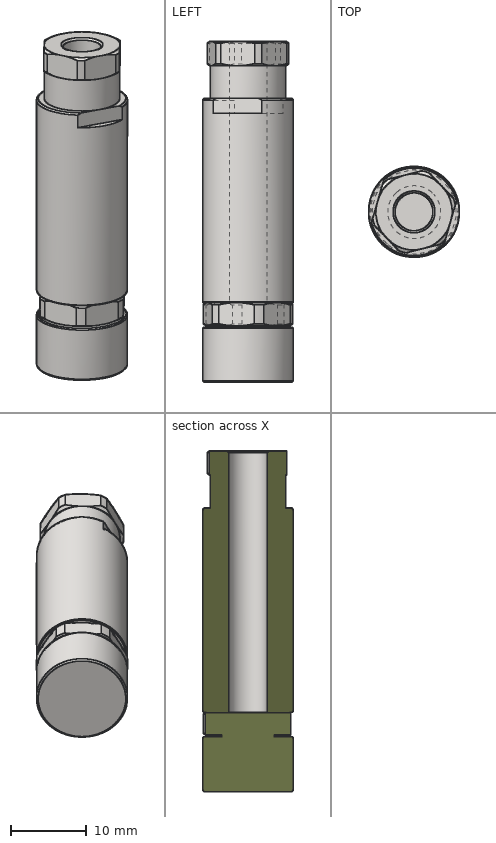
import cadquery as cq
import math

TOTAL_LENGTH = 45.0
BODY_DIAMETER = 12.0
TURN_ANGLE = -16.0

COLLAR_HEIGHT = 7.3
COLLAR_TOP_CHAMFER = 0.2
COLLAR_BOTTOM_CHAMFER = 0.22
CONNECTOR_NECK_DIAMETER = 6.98
CONNECTOR_NECK_HEIGHT = 0.2
CONNECTOR_HEX_HEIGHT = 3.0
CONNECTOR_HEX_FLATS = 11.0
CONNECTOR_HEX_CORNERS = BODY_DIAMETER

SLEEVE_TOP = 37.5
SLEEVE_TOP_CHAMFER = 0.22
SLEEVE_BOTTOM_CHAMFER = 0.15
SLEEVE_FLATS = 10.0
SLEEVE_FLATS_HEIGHT = 2.0
HOUSING_NECK_DIAMETER = 10.0
TOP_HEX_HEIGHT = 3.2
TOP_HEX_FLATS = 10.0
TOP_HEX_CORNERS = 11.02
BORE_DIAMETER = 5.0
BORE_CHAMFER = 0.25

HEX_CONE_ANGLE = 30.0
HEX_CONE_OUTSET = 0.05

CONNECTOR_HEX_BOTTOM = COLLAR_HEIGHT + CONNECTOR_NECK_HEIGHT
SLEEVE_BOTTOM = CONNECTOR_HEX_BOTTOM + CONNECTOR_HEX_HEIGHT
TOP_HEX_BOTTOM = TOTAL_LENGTH - TOP_HEX_HEIGHT


def cylinder(diameter, bottom, top):
    """Round bar on the Z axis between two levels."""
    return cq.Workplane("XY").workplane(offset=bottom).circle(diameter / 2).extrude(top - bottom)


def turned_hex(flats, corners, bottom, height):
    """Hex prism with round corners and coned ends."""
    across_points = flats / math.cos(math.radians(30))
    prism = (
        cq.Workplane("XY")
        .workplane(offset=bottom)
        .polygon(6, across_points)
        .extrude(height)
        .rotate((0, 0, 0), (0, 0, 1), TURN_ANGLE - 30)
    )
    end_radius = flats / 2 + HEX_CONE_OUTSET
    cone_width = corners / 2 - end_radius
    cone_height = cone_width * math.tan(math.radians(HEX_CONE_ANGLE))
    envelope = cylinder(corners, bottom, bottom + height).edges().chamfer(cone_height, cone_width)
    return prism.intersect(envelope)


def make_connector():
    """Coupling collar joined to its hex by a narrow neck."""
    collar = (
        cylinder(BODY_DIAMETER, 0, COLLAR_HEIGHT)
        .faces(">Z").chamfer(COLLAR_TOP_CHAMFER)
        .faces("<Z").chamfer(COLLAR_BOTTOM_CHAMFER)
    )
    neck = cylinder(CONNECTOR_NECK_DIAMETER, COLLAR_HEIGHT, CONNECTOR_HEX_BOTTOM)
    hexagon = turned_hex(
        CONNECTOR_HEX_FLATS, CONNECTOR_HEX_CORNERS, CONNECTOR_HEX_BOTTOM, CONNECTOR_HEX_HEIGHT
    )
    return collar.union(neck).union(hexagon)


def make_sleeve():
    """Long sleeve with two opposite wrench flats at its upper end."""
    sleeve = (
        cylinder(BODY_DIAMETER, SLEEVE_BOTTOM, SLEEVE_TOP)
        .faces(">Z").chamfer(SLEEVE_TOP_CHAMFER)
        .faces("<Z").chamfer(SLEEVE_BOTTOM_CHAMFER)
    )
    flats_bottom = SLEEVE_TOP - SLEEVE_FLATS_HEIGHT
    kept_between_flats = (
        cq.Workplane("XY")
        .workplane(offset=flats_bottom)
        .rect(SLEEVE_FLATS, BODY_DIAMETER)
        .extrude(SLEEVE_FLATS_HEIGHT)
        .rotate((0, 0, 0), (0, 0, 1), TURN_ANGLE)
    )
    removed = cylinder(BODY_DIAMETER, flats_bottom, SLEEVE_TOP).cut(kept_between_flats)
    return sleeve.cut(removed)


def make_bore():
    """Bore through the housing, widened at its mouth by a chamfer."""
    radius = BORE_DIAMETER / 2
    return (
        cq.Workplane("XZ")
        .moveTo(0, SLEEVE_BOTTOM)
        .lineTo(radius, SLEEVE_BOTTOM)
        .lineTo(radius, TOTAL_LENGTH - BORE_CHAMFER)
        .lineTo(radius + BORE_CHAMFER, TOTAL_LENGTH)
        .lineTo(0, TOTAL_LENGTH)
        .close()
        .revolve(360, (0, 0, 0), (0, 1, 0))
    )


def make_housing():
    """Sleeve, neck and top hex with the bore running down to the connector."""
    neck = cylinder(HOUSING_NECK_DIAMETER, SLEEVE_TOP, TOP_HEX_BOTTOM)
    hexagon = turned_hex(TOP_HEX_FLATS, TOP_HEX_CORNERS, TOP_HEX_BOTTOM, TOP_HEX_HEIGHT)
    return make_sleeve().union(neck).union(hexagon).cut(make_bore())


connector = make_connector()
housing = make_housing()
result = cq.Compound.makeCompound([connector.val(), housing.val()])